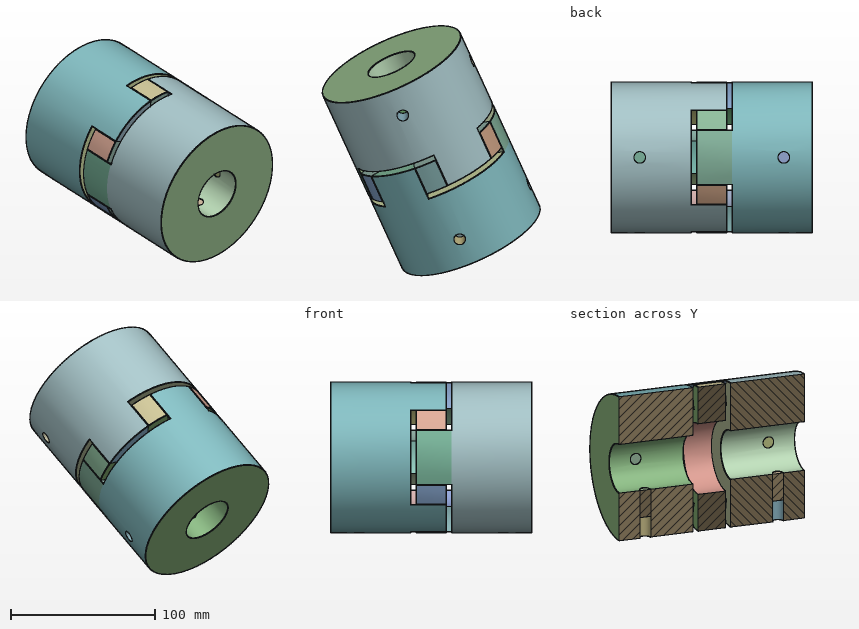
import cadquery as cq
import math


OUTER_RADIUS = 52.5
BORE_RADIUS = 17.5
HUB_LENGTH = 56.0
HUB_GAP = 28.0
AXIAL_CLEARANCE = 3.5
EDGE_CHAMFER = 0.38

JAWS_PER_HUB = 3
JAW_INNER_RADIUS = 34.7
FLANK_RADIUS = 35.0
FLANK_CENTRE_RADIUS = 45.3
TOOTH_HALF_WIDTH = 8.5

SPIDER_BORE_RADIUS = 25.5
SCREW_RADIUS = 4.0
SCREW_LENGTH = 20.0
SCREW_FROM_END = 20.0

SEAM_ANGLE = 90
TOLERANCE = 0.001

HALF_GAP = HUB_GAP / 2
HALF_LENGTH = HALF_GAP + HUB_LENGTH
SPIDER_THICKNESS = HUB_GAP - 2 * AXIAL_CLEARANCE
JAW_LENGTH = HUB_GAP - AXIAL_CLEARANCE
TOOTH_COUNT = 2 * JAWS_PER_HUB
JAW_PITCH = 360 / JAWS_PER_HUB
TOOTH_PITCH = 360 / TOOTH_COUNT
HOLE_DEPTH = 1.2 * OUTER_RADIUS
SCREW_X = HALF_LENGTH - SCREW_FROM_END
SCREW_DIRECTIONS = [cq.Vector(0, 1, 0), cq.Vector(0, 0, -1)]


def polar(radius, degrees):
    """Y and Z of a point at a radius and an angle from +Y towards +Z."""
    angle = math.radians(degrees)
    return (radius * math.cos(angle), radius * math.sin(angle))


def tooth_half_angle(radius):
    """Angle, at a given radius, from the middle of a spider tooth to its curved flank."""
    centre_offset = TOOTH_HALF_WIDTH - FLANK_RADIUS
    centre_distance = math.hypot(FLANK_CENTRE_RADIUS, centre_offset)
    centre_angle = math.atan2(centre_offset, FLANK_CENTRE_RADIUS)
    cosine = (centre_distance**2 + radius**2 - FLANK_RADIUS**2) / (2 * centre_distance * radius)
    return math.degrees(centre_angle + math.acos(cosine))


def jaw_half_angle(radius):
    """Half of the angle that a jaw takes up between two teeth."""
    return TOOTH_PITCH / 2 - tooth_half_angle(radius)


def sector(inner_radius, outer_radius, half_angle, x_start, length):
    """Block about the +Y direction between two radii, bounded by flanks curved as arcs."""
    middle_radius = (inner_radius + outer_radius) / 2
    inner = half_angle(inner_radius)
    middle = half_angle(middle_radius)
    outer = half_angle(outer_radius)
    return (
        cq.Workplane("YZ", origin=(x_start, 0, 0))
        .moveTo(*polar(inner_radius, -inner))
        .threePointArc(polar(middle_radius, -middle), polar(outer_radius, -outer))
        .threePointArc((outer_radius, 0), polar(outer_radius, outer))
        .threePointArc(polar(middle_radius, middle), polar(inner_radius, inner))
        .threePointArc((inner_radius, 0), polar(inner_radius, -inner))
        .close()
        .extrude(length)
    )


def turned(body, degrees):
    """The body turned about the coupling axis."""
    return body.rotate((0, 0, 0), (1, 0, 0), degrees)


def screw_cylinder(x, direction, start, length):
    """Radial cylinder of screw diameter, from a start radius outwards."""
    centre = cq.Vector(x, 0, 0) + direction * start
    return cq.Workplane(obj=cq.Solid.makeCylinder(SCREW_RADIUS, length, centre, direction))


def chamfer_outer_edges(body, lowest_x):
    """Chamfer the edges on the outside diameter whose middle lies at lowest_x or beyond."""
    edges = [
        edge
        for edge in body.edges().vals()
        if edge.Center().x > lowest_x - TOLERANCE
        and all(math.hypot(v.Y, v.Z) > OUTER_RADIUS - TOLERANCE for v in edge.Vertices())
    ]
    return body.newObject(edges).chamfer(EDGE_CHAMFER)


def make_hub():
    """Hub on the -X side with its jaws pointing to +X."""
    hub = (
        cq.Workplane("YZ", origin=(-HALF_LENGTH, 0, 0))
        .circle(OUTER_RADIUS)
        .circle(BORE_RADIUS)
        .extrude(HUB_LENGTH)
        .edges("%CIRCLE")
        .chamfer(EDGE_CHAMFER)
    )
    hub = turned(hub, SEAM_ANGLE)
    jaw_start = -HALF_GAP - EDGE_CHAMFER
    jaw = sector(JAW_INNER_RADIUS, OUTER_RADIUS, jaw_half_angle, jaw_start, EDGE_CHAMFER + JAW_LENGTH)
    jaw = chamfer_outer_edges(jaw, jaw_start + EDGE_CHAMFER)
    for index in range(JAWS_PER_HUB):
        hub = hub.union(turned(jaw, index * JAW_PITCH))
    return hub


def cut_screw_holes(hub, x):
    for direction in SCREW_DIRECTIONS:
        hub = hub.cut(screw_cylinder(x, direction, 0, HOLE_DEPTH))
    return hub


def make_spider():
    """Ring with barrel-shaped teeth that fill the spaces between the jaws."""
    x_start = -SPIDER_THICKNESS / 2
    spider = (
        cq.Workplane("YZ", origin=(x_start, 0, 0))
        .circle(JAW_INNER_RADIUS)
        .circle(SPIDER_BORE_RADIUS)
        .extrude(SPIDER_THICKNESS)
    )
    tooth = sector(JAW_INNER_RADIUS, OUTER_RADIUS, tooth_half_angle, x_start, SPIDER_THICKNESS)
    tooth = chamfer_outer_edges(tooth, x_start)
    for index in range(TOOTH_COUNT):
        spider = spider.union(turned(tooth, (index + 0.5) * TOOTH_PITCH))
    return spider


plain_hub = make_hub()
left_hub = cut_screw_holes(plain_hub, -SCREW_X)
right_hub = cut_screw_holes(plain_hub.rotate((0, 0, 0), (0, 0, 1), 180), SCREW_X)
spider = make_spider()
screws = [
    screw_cylinder(x, direction, BORE_RADIUS, SCREW_LENGTH)
    for x in (-SCREW_X, SCREW_X)
    for direction in SCREW_DIRECTIONS
]

result = cq.Compound.makeCompound([body.val() for body in [left_hub, right_hub, spider, *screws]])